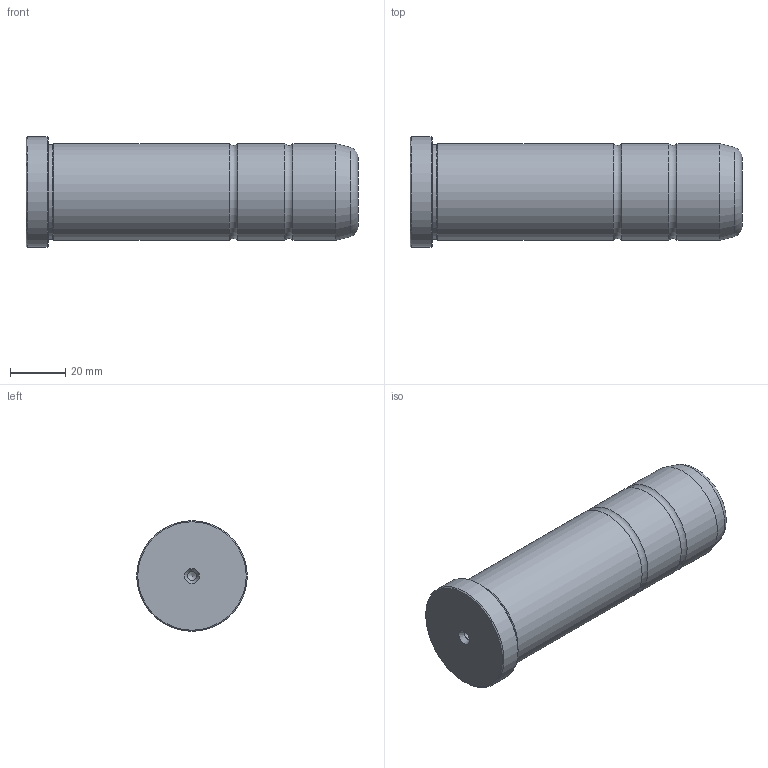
import cadquery as cq
import math

length = 120.0
shank_diameter = 35.0
shank_radius = shank_diameter / 2

head_diameter = 40.0
head_radius = head_diameter / 2
head_thickness = 8.0
head_chamfer = 0.4

neck_radius = shank_radius - 0.4
neck_end = 9.6
neck_ramp_length = 0.4

groove_centres = (75.0, 95.0)
groove_width = 3.0
groove_depth = 0.7

taper_start = 112.0
taper_angle = math.radians(15.0)
nose_fillet_radius = 3.8

centre_mouth_diameter = 5.4
centre_pilot_diameter = 3.3
centre_mouth_angle = math.radians(60.0)
centre_tip_angle = math.radians(120.0)
centre_pilot_length = 4.0


def add_groove(profile, centre):
    """Run along the shank to a groove and through its circular arc."""
    half_width = groove_width / 2
    return profile.lineTo(centre - half_width, shank_radius).threePointArc(
        (centre, shank_radius - groove_depth), (centre + half_width, shank_radius)
    )


def add_nose(profile):
    """Taper the free end and round it into the end face."""
    centre_x = length - nose_fillet_radius
    taper_radius = shank_radius - (centre_x - taper_start) * math.tan(taper_angle)
    centre_radius = taper_radius - nose_fillet_radius / math.cos(taper_angle)

    def fillet_point(angle):
        return (
            centre_x + nose_fillet_radius * math.sin(angle),
            centre_radius + nose_fillet_radius * math.cos(angle),
        )

    end_angle = math.pi / 2
    mid_angle = (taper_angle + end_angle) / 2
    return (
        profile.lineTo(taper_start, shank_radius)
        .lineTo(*fillet_point(taper_angle))
        .threePointArc(fillet_point(mid_angle), fillet_point(end_angle))
        .lineTo(length, 0)
    )


def revolve_about_x(profile):
    return profile.close().revolve(360, (0, 0, 0), (1, 0, 0))


def make_pillar():
    """Head, neck, grooved shank and nose as one revolved body."""
    profile = (
        cq.Workplane("XZ")
        .lineTo(0, head_radius - head_chamfer)
        .lineTo(head_chamfer, head_radius)
        .lineTo(head_thickness - head_chamfer, head_radius)
        .lineTo(head_thickness, head_radius - head_chamfer)
        .lineTo(head_thickness, neck_radius)
        .lineTo(neck_end, neck_radius)
        .lineTo(neck_end + neck_ramp_length, shank_radius)
    )
    for centre in groove_centres:
        profile = add_groove(profile, centre)
    return revolve_about_x(add_nose(profile))


def make_centre_hole():
    """Countersunk mouth, cylindrical pilot and conical drill tip."""
    mouth_radius = centre_mouth_diameter / 2
    pilot_radius = centre_pilot_diameter / 2
    mouth_depth = (mouth_radius - pilot_radius) / math.tan(centre_mouth_angle / 2)
    pilot_end = mouth_depth + centre_pilot_length
    tip_end = pilot_end + pilot_radius / math.tan(centre_tip_angle / 2)
    profile = (
        cq.Workplane("XZ")
        .lineTo(0, mouth_radius)
        .lineTo(mouth_depth, pilot_radius)
        .lineTo(pilot_end, pilot_radius)
        .lineTo(tip_end, 0)
    )
    return revolve_about_x(profile)


result = make_pillar().cut(make_centre_hole())